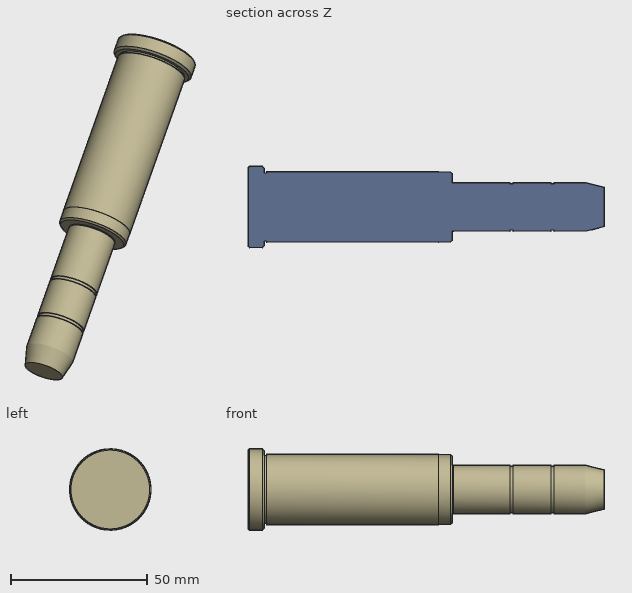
import cadquery as cq
import math

TOTAL_LENGTH = 131.0

HEAD_DIAMETER = 30.0
HEAD_LENGTH = 6.0
HEAD_FRONT_CHAMFER = 0.5
HEAD_BACK_CHAMFER = 0.8

BODY_DIAMETER = 26.0
BODY_END = 75.0
BODY_CHAMFER = 0.7
NECK_LENGTH = 0.8
NECK_DEPTH = 0.4
LEAD_LENGTH = 5.0
LEAD_RELIEF = 0.07

PIN_DIAMETER = 18.0
BASE_RELIEF_LENGTH = 0.4
BASE_RELIEF_DEPTH = 0.1
NOSE_LENGTH = 7.0
NOSE_ANGLE = 14.0

GROOVE_STARTS = (96.3, 111.4)
GROOVE_WIDTH = 1.2
GROOVE_DEPTH = 0.4


def cylinder(diameter, start, end):
    """Solid cylinder on the X axis between two X positions."""
    return cq.Workplane("YZ").workplane(offset=start).circle(diameter / 2).extrude(end - start)


def ring_cut(diameter, depth, start, width):
    """Cutter that takes a rectangular ring groove out of a cylinder."""
    outer = cylinder(diameter + 2 * depth, start, start + width)
    return outer.cut(cylinder(diameter - 2 * depth, start, start + width))


def make_head():
    head = cylinder(HEAD_DIAMETER, 0, HEAD_LENGTH)
    return head.faces("<X").chamfer(HEAD_FRONT_CHAMFER).faces(">X").chamfer(HEAD_BACK_CHAMFER)


def make_body():
    """Body with a relief neck under the head and a slightly reduced lead at its far end."""
    body = cylinder(BODY_DIAMETER, HEAD_LENGTH, BODY_END - LEAD_LENGTH)
    body = body.cut(ring_cut(BODY_DIAMETER, NECK_DEPTH, HEAD_LENGTH, NECK_LENGTH))
    lead = cylinder(BODY_DIAMETER - 2 * LEAD_RELIEF, BODY_END - LEAD_LENGTH, BODY_END)
    return body.union(lead.faces(">X").chamfer(BODY_CHAMFER))


def make_pin():
    """Pin with a relief at its base, two ring grooves and a conical nose."""
    pin = cylinder(PIN_DIAMETER, BODY_END, TOTAL_LENGTH)
    nose_drop = NOSE_LENGTH * math.tan(math.radians(NOSE_ANGLE))
    pin = pin.faces(">X").edges().chamfer(NOSE_LENGTH, nose_drop)
    pin = pin.cut(ring_cut(PIN_DIAMETER, BASE_RELIEF_DEPTH, BODY_END, BASE_RELIEF_LENGTH))
    for start in GROOVE_STARTS:
        pin = pin.cut(ring_cut(PIN_DIAMETER, GROOVE_DEPTH, start, GROOVE_WIDTH))
    return pin


result = make_head().union(make_body()).union(make_pin())